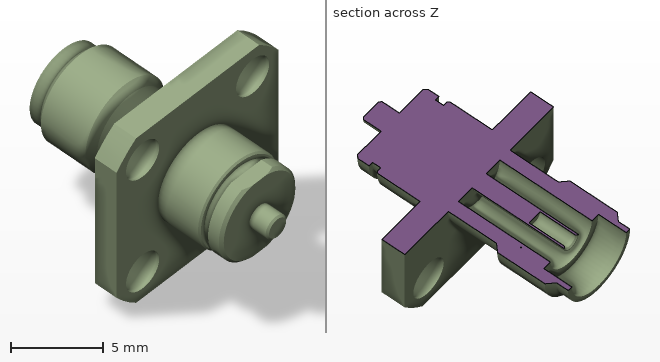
import cadquery as cq

length = 15.85

barrel_radius = 2.65
collar_radius = 3.09
collar_bevel = collar_radius - barrel_radius
collar_start = 0.81
collar_end = 5.0

flange_size = 12.7
flange_start = 8.32
flange_thickness = 1.62
flange_end = flange_start + flange_thickness
flange_corner_radius = 7.97
mount_hole_diameter = 2.6
mount_hole_spacing = 8.62

rear_radius = 3.09
rear_end = 13.0
rear_bevel = 0.11
groove_radius = 2.7
ring_start = 13.54
ring_end = 14.52
ring_radius = 3.0
ring_bevel = 0.19
ring_across_flats = 5.5

pin_radius = 0.8
pin_bevel = 0.13

bore_radius = 2.31
bore_depth = 1.93
inner_bore_radius = 1.76
inner_bore_end = flange_start
contact_radius = 0.62
contact_start = bore_depth
socket_radius = 0.46
socket_bevel = 0.1
socket_depth = 2.54


def rod(start, end, radius):
    """Round bar along X between two stations."""
    return cq.Workplane("YZ", origin=(start, 0, 0)).circle(radius).extrude(end - start)


def make_barrel():
    collar = rod(collar_start, collar_end, collar_radius).edges().chamfer(collar_bevel)
    return rod(0, flange_start, barrel_radius).union(collar)


def make_flange():
    plate = (
        cq.Workplane("YZ", origin=(flange_start, 0, 0))
        .rect(flange_size, flange_size)
        .extrude(flange_thickness)
    )
    plate = plate.intersect(rod(flange_start, flange_end, flange_corner_radius))
    return (
        plate.faces(">X")
        .workplane(origin=(0, 0, 0))
        .rect(mount_hole_spacing, mount_hole_spacing, forConstruction=True)
        .vertices()
        .hole(mount_hole_diameter)
    )


def make_rear():
    body = rod(flange_end, rear_end, rear_radius).faces(">X").edges().chamfer(rear_bevel)
    groove = rod(rear_end, ring_start, groove_radius)
    ring = rod(ring_start, ring_end, ring_radius).faces(">X").edges().chamfer(ring_bevel)
    flats = cq.Workplane("XY").box(2 * length, 2 * ring_radius, ring_across_flats)
    pin = rod(ring_end, length, pin_radius).faces(">X").edges().chamfer(pin_bevel)
    return body.union(groove).union(ring.intersect(flats)).union(pin)


def make_bore():
    return rod(0, bore_depth, bore_radius).union(rod(0, inner_bore_end, inner_bore_radius))


def make_contact():
    socket = rod(contact_start, contact_start + socket_depth, socket_radius)
    lead_in = cq.Workplane("YZ", origin=(contact_start, 0, 0)).circle(socket_radius + socket_bevel)
    lead_in = lead_in.workplane(offset=socket_bevel).circle(socket_radius).loft()
    return rod(contact_start, inner_bore_end, contact_radius).cut(socket).cut(lead_in)


outer = make_barrel().union(make_flange()).union(make_rear())
result = outer.cut(make_bore()).union(make_contact())